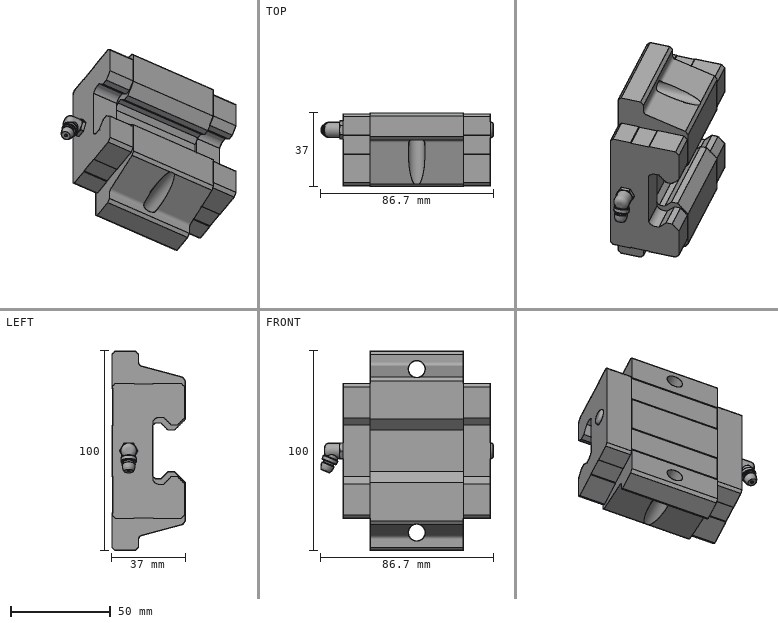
import cadquery as cq
import math


block_length = 46.8
block_width = 100.0
block_depth = 37.0
flange_depth = 13.5
flange_chamfer = 1.6
flange_root_radius = 2.0
flank_angle = math.radians(15)
flank_end_depth = 35.6
flank_end_height = 37.0
nose_edge_height = 35.1
channel_depth = 19.2
lip_height = 10.4
lip_start_depth = 28.2
lip_end_depth = 31.5
throat_height = 13.9
throat_start_depth = 21.8
throat_end_depth = lip_start_depth - (throat_height - lip_height)

relief_inner = 12.8
relief_outer = 31.2
relief_depth = 0.5

hole_diameter = 8.38
hole_spacing = 82.0

cap_length = 13.5
cap_half_width = 33.9
cap_back = 0.4
cap_front = 36.6
cap_back_chamfer = 1.4
cap_front_chamfer = 1.8
cap_step_height = 0.3
cap_step_start = 11.0
cap_step_end = 20.9
cap_channel_depth = 20.6
cap_channel_height = 14.6
cap_throat_height = 16.8
cap_throat_start = 23.4
cap_throat_arc_depth = 21.7
cap_throat_arc_height = 16.0
cap_lip_height = 13.0
cap_lip_start = 29.8
cap_lip_end = 33.0
cap_throat_end = cap_lip_start - (cap_throat_height - cap_lip_height)
cap_mouth_height = cap_lip_height + (cap_front - cap_lip_end)

port_depth = 8.5
cap_face = block_length / 2 + cap_length
plug_diameter = 8.0
plug_height = 1.6
plug_edge_radius = 1.5

hex_across_flats = 8.0
hex_height = 1.85
hex_bevel_height = 0.35
hex_bevel_angle = math.radians(30)
elbow_diameter = 7.85
elbow_reach = 9.4
elbow_edge_radius = 2.45
nipple_tilt = 22.5
nipple_offset = 4.78
nipple_length = 11.05
nipple_root = elbow_diameter / 4
nipple_body_diameter = 7.0
collar_diameter = 7.85
neck_diameter = 5.5
head_diameter = 6.6
tip_diameter = 4.6
tip_shoulder_diameter = 5.7
head_profile_radius = 7.0
collar_face_diameter = 7.1
tip_shoulder = 1.0
head_end = 3.6
neck_start = 4.0
collar_start = 4.9
collar_full = 5.3
collar_end = 7.0
collar_top = 7.4
grease_hole_diameter = 1.3
grease_hole_length = 0.4


def mirrored_prism(half_outline, length):
    """Extrude one half of a section along X and join it with its mirror image."""
    half = half_outline.close().extrude(length / 2, both=True)
    return half.union(half.mirror("XY"))


def make_block():
    root_height = flank_end_height + (flank_end_depth - flange_depth) * math.tan(flank_angle)
    half_width = block_width / 2
    outline = cq.Workplane("YZ").polyline([
        (0, 0),
        (0, half_width - flange_chamfer),
        (-flange_chamfer, half_width),
        (flange_chamfer - flange_depth, half_width),
        (-flange_depth, half_width - flange_chamfer),
        (-flange_depth, root_height),
        (-flank_end_depth, flank_end_height),
        (-block_depth, nose_edge_height),
        (-block_depth, lip_height + block_depth - lip_end_depth),
        (-lip_end_depth, lip_height),
        (-lip_start_depth, lip_height),
        (-throat_end_depth, throat_height),
        (-throat_start_depth, throat_height),
        (-channel_depth, throat_height - (throat_start_depth - channel_depth)),
        (-channel_depth, 0),
    ])
    block = mirrored_prism(outline, block_length)
    for side in (1, -1):
        root_edge = cq.selectors.NearestToPointSelector((0, -flange_depth, side * root_height))
        block = block.edges("|X").edges(root_edge).fillet(flange_root_radius)
    return block


def cut_reliefs(block):
    relief_width = relief_outer - relief_inner
    relief_centre = (relief_outer + relief_inner) / 2
    for side in (1, -1):
        relief = cq.Workplane("XY").box(block_length, 2 * relief_depth, relief_width)
        block = block.cut(relief.translate((0, 0, side * relief_centre)))
    return block


def cut_mounting_holes(block):
    holes = (
        cq.Workplane("XZ")
        .pushPoints([(0, hole_spacing / 2), (0, -hole_spacing / 2)])
        .circle(hole_diameter / 2)
        .extrude(block_depth)
    )
    return block.cut(holes)


def make_cap():
    step_height = cap_half_width - cap_step_height
    outline = (
        cq.Workplane("YZ")
        .moveTo(-cap_back, 0)
        .lineTo(-cap_back, cap_half_width - cap_back_chamfer)
        .lineTo(-cap_back - cap_back_chamfer, cap_half_width)
        .lineTo(-cap_step_start, cap_half_width)
        .lineTo(-cap_step_start - cap_step_height, step_height)
        .lineTo(-cap_step_end + cap_step_height, step_height)
        .lineTo(-cap_step_end, cap_half_width)
        .lineTo(-cap_front + cap_front_chamfer, cap_half_width)
        .lineTo(-cap_front, cap_half_width - cap_front_chamfer)
        .lineTo(-cap_front, cap_mouth_height)
        .lineTo(-cap_lip_end, cap_lip_height)
        .lineTo(-cap_lip_start, cap_lip_height)
        .lineTo(-cap_throat_end, cap_throat_height)
        .lineTo(-cap_throat_start, cap_throat_height)
        .threePointArc((-cap_throat_arc_depth, cap_throat_arc_height),
                       (-cap_channel_depth, cap_channel_height))
        .lineTo(-cap_channel_depth, 0)
    )
    return mirrored_prism(outline, cap_length)


def make_plug():
    return (
        cq.Workplane("YZ", origin=(cap_face, -port_depth, 0))
        .circle(plug_diameter / 2)
        .extrude(plug_height)
        .faces(">X")
        .edges()
        .fillet(plug_edge_radius)
    )


def make_nipple():
    """Turned nipple, tip at the lower end, swung about the point where it leaves the elbow axis."""
    tip = -nipple_length
    nipple = (
        cq.Workplane("XZ")
        .moveTo(0, tip)
        .lineTo(tip_diameter / 2, tip)
        .lineTo(tip_shoulder_diameter / 2, tip + tip_shoulder)
        .radiusArc((head_diameter / 2, tip + head_end), -head_profile_radius)
        .lineTo(neck_diameter / 2, tip + neck_start)
        .lineTo(neck_diameter / 2, tip + collar_start)
        .lineTo(collar_face_diameter / 2, tip + collar_start)
        .lineTo(collar_diameter / 2, tip + collar_full)
        .lineTo(collar_diameter / 2, tip + collar_end)
        .lineTo(nipple_body_diameter / 2, tip + collar_top)
        .lineTo(nipple_body_diameter / 2, -nipple_root)
        .lineTo(0, -nipple_root)
        .close()
        .revolve(360, (0, 0, 0), (0, 1, 0))
    )
    grease_hole = (
        cq.Workplane("XY", origin=(0, 0, tip))
        .circle(grease_hole_diameter / 2)
        .extrude(grease_hole_length)
    )
    nipple = nipple.cut(grease_hole).rotate((0, 0, 0), (0, 1, 0), nipple_tilt)
    return nipple.translate((-cap_face - nipple_offset, -port_depth, 0))


def make_fitting():
    port_plane = cq.Workplane("YZ", origin=(-cap_face, -port_depth, 0))
    hex_across_corners = hex_across_flats / math.cos(math.pi / 6)
    bevel_reach = hex_bevel_height / math.tan(hex_bevel_angle)
    corner_envelope = (
        port_plane.circle(hex_across_corners / 2)
        .extrude(-hex_height)
        .faces("<X")
        .chamfer(hex_bevel_height, bevel_reach)
    )
    hex_base = port_plane.polygon(6, hex_across_corners).extrude(-hex_height).intersect(corner_envelope)
    elbow = (
        port_plane.circle(elbow_diameter / 2)
        .extrude(-elbow_reach)
        .faces("<X")
        .edges()
        .fillet(elbow_edge_radius)
    )
    return hex_base.union(elbow).union(make_nipple())


result = cut_mounting_holes(cut_reliefs(make_block()))
for end in (1, -1):
    cap_centre = end * (block_length + cap_length) / 2
    result = result.union(make_cap().translate((cap_centre, 0, 0)))
result = result.union(make_plug()).union(make_fitting())